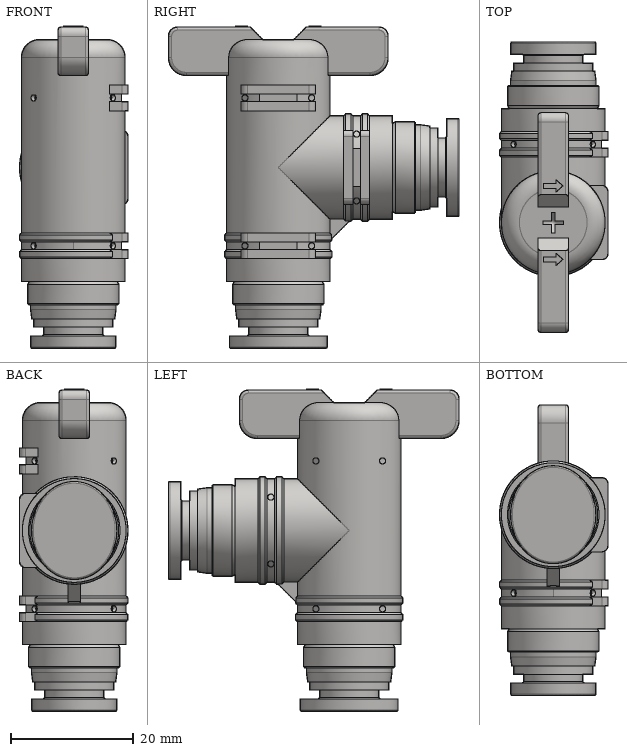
import cadquery as cq
import math

PORT_REACH = 29.65
BODY_RADIUS = 8.5
CAP_TOP = 50.65
CAP_FILLET = 2.95

FLANGE_MAJOR_RADIUS = 8.05
FLANGE_MINOR_RADIUS = 7.0
FLANGE_THICKNESS = 2.05
FLANGE_FILLET = 0.25
NECK_RADIUS = 4.85
NECK_CHAMFER = 0.2
NECK_END = 3.5
LIP_RADIUS = 6.5
LIP_END = 4.8
TAPER_START_RADIUS = 6.8
SLEEVE_RADIUS = 7.05
TAPER_END = 6.35
COLLAR_RADIUS = 7.5
COLLAR_START = 7.15
COLLAR_EDGE = 0.2
COLLAR_CHAMFER_LENGTH = 0.5
COLLAR_CHAMFER_DEPTH = 0.25
BODY_START = 10.95

CLIP_OFFSET = 16.8
UPPER_CLIP_Z = 41.05
CLIP_LENGTH = 4.25
CLIP_GAP = 1.25
TAB_REACH = 9.0
TAB_HALF_WIDTH = 6.1
TAB_FILLET = 1.0
GAP_FLOOR_X = 7.95
RING_RADIUS = 8.8
RING_CHAMFER = 0.3
DIMPLE_RADIUS = 0.5
DIMPLE_DEPTH = 0.5
DIMPLE_ANGLE = 40

WEB_THICKNESS = 2.1
WEB_LEG = 20.45

HANDLE_TOP = 52.7
HANDLE_BOTTOM = 44.7
HANDLE_HALF_LENGTH = 18.0
HANDLE_WIDTH = 5.0
HANDLE_TOP_RADIUS = 1.55
HANDLE_BOTTOM_RADIUS = 2.95
HANDLE_EDGE_FILLET = 0.55
NOTCH_HALF_FLOOR = 2.55

ARROW_Y = 6.0
ARROW_HALF_LENGTH = 1.6
ARROW_SHAFT_HALF_WIDTH = 0.4
ARROW_HEAD_HALF_WIDTH = 1.0
ARROW_HEAD_X = 0.5
ARROW_HEIGHT = 0.15
RECESS_RADIUS = 1.7
RECESS_ARM_WIDTH = 0.6

TAB_LENGTH = (CLIP_LENGTH - CLIP_GAP) / 2
TAB_CENTRE_OFFSET = (CLIP_GAP + TAB_LENGTH) / 2


def make_nose():
    """Stepped round nose of a port, from its outer end at z = 0 up to the body."""
    profile = [
        (0, FLANGE_THICKNESS),
        (NECK_RADIUS + NECK_CHAMFER, FLANGE_THICKNESS),
        (NECK_RADIUS, FLANGE_THICKNESS + NECK_CHAMFER),
        (NECK_RADIUS, NECK_END),
        (LIP_RADIUS, NECK_END),
        (LIP_RADIUS, LIP_END),
        (TAPER_START_RADIUS, LIP_END),
        (SLEEVE_RADIUS, TAPER_END),
        (SLEEVE_RADIUS, COLLAR_START),
        (COLLAR_RADIUS - COLLAR_EDGE, COLLAR_START),
        (COLLAR_RADIUS, COLLAR_START + COLLAR_EDGE),
        (COLLAR_RADIUS, BODY_START - COLLAR_CHAMFER_LENGTH),
        (COLLAR_RADIUS - COLLAR_CHAMFER_DEPTH, BODY_START),
        (0, BODY_START),
    ]
    steps = cq.Workplane("XZ").polyline(profile).close().revolve(360, (0, 0, 0), (0, 1, 0))
    flange = (
        cq.Workplane("XY")
        .ellipse(FLANGE_MINOR_RADIUS, FLANGE_MAJOR_RADIUS)
        .extrude(FLANGE_THICKNESS)
        .faces("<Z").edges().fillet(FLANGE_FILLET)
    )
    return steps.union(flange)


def make_tab(z):
    """One tab, rounded at its two outer corners, centred at height z."""
    return (
        cq.Workplane("XY", origin=(0, 0, z - TAB_LENGTH / 2))
        .rect(TAB_REACH, 2 * TAB_HALF_WIDTH)
        .extrude(TAB_LENGTH)
        .translate((TAB_REACH / 2, 0, 0))
        .edges("|Z and >X").fillet(TAB_FILLET)
    )


def make_ring(z):
    """Raised band round the body, chamfered on both rims, centred at height z."""
    return (
        cq.Workplane("XY", origin=(0, 0, z - TAB_LENGTH / 2))
        .circle(RING_RADIUS)
        .extrude(TAB_LENGTH)
        .edges().chamfer(RING_CHAMFER)
    )


def make_clip_cutter(z):
    """Gap between the tabs and four dimples that follow the curve of the body."""
    gap_depth = TAB_REACH - GAP_FLOOR_X
    gap = cq.Workplane("XY").box(gap_depth, 2 * RING_RADIUS, CLIP_GAP)
    gap = gap.translate((GAP_FLOOR_X + gap_depth / 2, 0, z))
    dimple_y = BODY_RADIUS * math.sin(math.radians(DIMPLE_ANGLE))
    drills = (
        cq.Workplane("YZ", origin=(-BODY_RADIUS, 0, z))
        .pushPoints([(-dimple_y, 0), (dimple_y, 0)])
        .circle(DIMPLE_RADIUS)
        .extrude(2 * BODY_RADIUS)
    )
    core = (
        cq.Workplane("XY", origin=(0, 0, z - CLIP_GAP / 2))
        .circle(BODY_RADIUS - DIMPLE_DEPTH)
        .extrude(CLIP_GAP)
    )
    return gap.union(drills.cut(core))


def add_clip_seat(body, z, with_rings):
    """Add a pair of tabs, and rings if wanted, then cut the gap and dimples between them."""
    for tab_z in (z - TAB_CENTRE_OFFSET, z + TAB_CENTRE_OFFSET):
        body = body.union(make_tab(tab_z))
        if with_rings:
            body = body.union(make_ring(tab_z))
    return body.cut(make_clip_cutter(z))


def make_body(top):
    """Plain cylinder from the nose up to height top, its seam on the -Y side, clear of the tabs."""
    base = cq.Plane(origin=(0, 0, BODY_START), xDir=(0, -1, 0), normal=(0, 0, 1))
    return cq.Workplane(base).circle(BODY_RADIUS).extrude(top - BODY_START)


def add_port(body):
    """Add the stepped nose and the ringed clip seat to the lower end of a body."""
    return add_clip_seat(body.union(make_nose()), CLIP_OFFSET, with_rings=True)


def make_tower():
    """Vertical body with a rounded cap, a port at the bottom and a clip seat without rings."""
    body = make_body(CAP_TOP).faces(">Z").edges().fillet(CAP_FILLET)
    return add_clip_seat(add_port(body), UPPER_CLIP_Z, with_rings=False)


def make_branch():
    """Port built upright, then turned about the axis crossing to point to +Y."""
    upright = add_port(make_body(PORT_REACH))
    return upright.rotate((0, 0, PORT_REACH), (1, 0, PORT_REACH), 90)


def make_web():
    """Triangular web under the branch, in the plane of the two axes."""
    return (
        cq.Workplane("YZ")
        .polyline([(0, PORT_REACH), (WEB_LEG, PORT_REACH), (0, PORT_REACH - WEB_LEG)])
        .close()
        .extrude(WEB_THICKNESS / 2, both=True)
    )


def make_handle():
    """Cross bar with rounded ends and a V notch; the cap fills the notch up to its own top."""
    height = HANDLE_TOP - HANDLE_BOTTOM
    bar = (
        cq.Workplane("XY")
        .box(HANDLE_WIDTH, 2 * HANDLE_HALF_LENGTH, height)
        .translate((0, 0, HANDLE_BOTTOM + height / 2))
        .edges("|X and >Z").fillet(HANDLE_TOP_RADIUS)
        .edges("|X and <Z").fillet(HANDLE_BOTTOM_RADIUS)
        .faces("<X or >X").edges().fillet(HANDLE_EDGE_FILLET)
    )
    notch_half_top = NOTCH_HALF_FLOOR + HANDLE_TOP - CAP_TOP
    notch = (
        cq.Workplane("YZ")
        .polyline([
            (0, CAP_TOP - NOTCH_HALF_FLOOR),
            (notch_half_top, HANDLE_TOP),
            (-notch_half_top, HANDLE_TOP),
        ])
        .close()
        .extrude(HANDLE_WIDTH, both=True)
    )
    return bar.cut(notch)


def make_arrow(y):
    """Raised arrow pointing to +X."""
    return (
        cq.Workplane("XY", origin=(0, y, HANDLE_TOP))
        .polyline([
            (-ARROW_HALF_LENGTH, -ARROW_SHAFT_HALF_WIDTH),
            (ARROW_HEAD_X, -ARROW_SHAFT_HALF_WIDTH),
            (ARROW_HEAD_X, -ARROW_HEAD_HALF_WIDTH),
            (ARROW_HALF_LENGTH, 0),
            (ARROW_HEAD_X, ARROW_HEAD_HALF_WIDTH),
            (ARROW_HEAD_X, ARROW_SHAFT_HALF_WIDTH),
            (-ARROW_HALF_LENGTH, ARROW_SHAFT_HALF_WIDTH),
        ])
        .close()
        .extrude(ARROW_HEIGHT)
    )


def make_cross_recess():
    """Cross-shaped driver recess whose floor is a 45 degree cone."""
    cone = cq.Workplane("XY").add(
        cq.Solid.makeCone(RECESS_RADIUS, 0, RECESS_RADIUS, cq.Vector(0, 0, CAP_TOP), cq.Vector(0, 0, -1))
    )
    arm_length = 2 * RECESS_RADIUS
    arm_x = cq.Workplane("XY").box(arm_length, RECESS_ARM_WIDTH, arm_length)
    arm_y = cq.Workplane("XY").box(RECESS_ARM_WIDTH, arm_length, arm_length)
    return arm_x.union(arm_y).translate((0, 0, CAP_TOP)).intersect(cone)


result = make_tower().union(make_branch()).union(make_web()).union(make_handle())
for arrow_y in (-ARROW_Y, ARROW_Y):
    result = result.union(make_arrow(arrow_y))
result = result.cut(make_cross_recess())